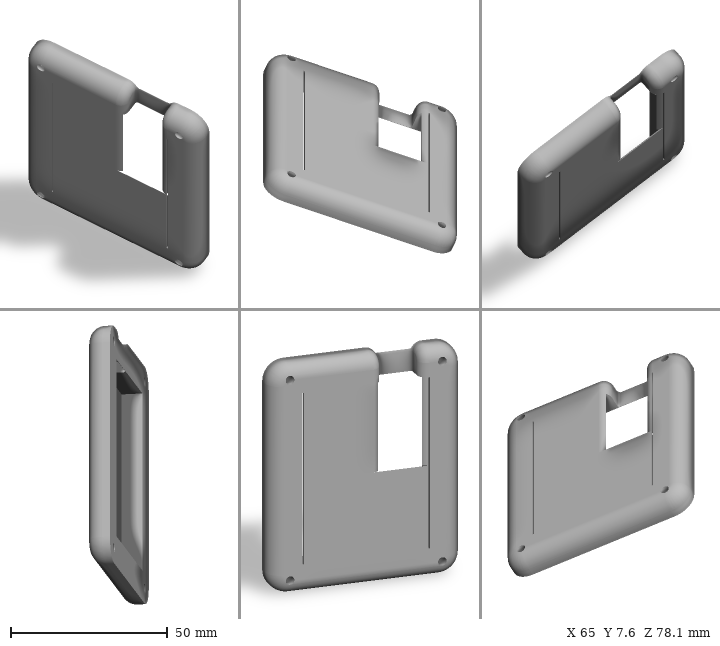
import cadquery as cq
import math

WIDTH = 65.0
HEIGHT = 78.1
DEPTH = 7.6
CORNER_RADIUS = 7.0
FRONT_FILLET = 5.0

PLATE_THICKNESS = 0.88
POCKET_WIDTH = 43.3
POCKET_HEIGHT = 58.3
SLOT_WIDTH = 0.5

NOTCH_LEFT = 5.3
NOTCH_RIGHT = 18.25
NOTCH_BOTTOM = -0.8
NOTCH_EDGE_RADIUS = 3.1
NOTCH_ROOT_RADIUS = 0.75
WEB_THICKNESS = 0.1

HOLE_DIAMETER = 2.9
HOLE_SPACING_X = 51.6
HOLE_SPACING_Z = 68.0

BACK_STOCK = 2 * NOTCH_EDGE_RADIUS

TOP = HEIGHT / 2
FRONT = -DEPTH
TOLERANCE = 0.01


def block(x_limits, y_limits, z_limits):
    """Axis-aligned box given by its lower and upper limit on each axis."""
    corner = (x_limits[0], y_limits[0], z_limits[0])
    size = [upper - lower for lower, upper in (x_limits, y_limits, z_limits)]
    return cq.Workplane("XY").box(*size, centered=False).translate(corner)


def make_body():
    """Rounded plate with a filleted front rim, including the stock behind the back face."""
    plate = cq.Workplane("XZ", origin=(0, BACK_STOCK, 0)).rect(WIDTH, HEIGHT).extrude(DEPTH + BACK_STOCK)
    return plate.edges("|Y").fillet(CORNER_RADIUS).faces("<Y").edges().fillet(FRONT_FILLET)


def lies_on_notch_wall(edge):
    x = edge.Center().x
    return min(abs(x - NOTCH_LEFT), abs(x - NOTCH_RIGHT)) < TOLERANCE


def is_notch_rim(edge):
    """True for the edges where the notch breaks out of the front and top surfaces."""
    box = edge.BoundingBox()
    in_notch = box.xmin > NOTCH_LEFT - TOLERANCE and box.xmax < NOTCH_RIGHT + TOLERANCE
    at_top = box.zmin > TOP - TOLERANCE and box.ymax < TOLERANCE
    on_side = lies_on_notch_wall(edge) and box.zmax - box.zmin > TOLERANCE
    at_front = on_side and box.ymin < FRONT + FRONT_FILLET - TOLERANCE
    return in_notch and (at_top or at_front)


def cut_notch(body):
    """Notch with rounded roots against the web and a generous rounding along its whole rim."""
    notch = block((NOTCH_LEFT, NOTCH_RIGHT), (FRONT, -WEB_THICKNESS), (NOTCH_BOTTOM, TOP))
    notch = notch.edges("|Z and >Y").fillet(NOTCH_ROOT_RADIUS)
    notched = body.cut(notch)
    rim = [edge for edge in notched.edges().vals() if is_notch_rim(edge)]
    return notched.newObject(rim).fillet(NOTCH_EDGE_RADIUS)


def remove_back_stock(body):
    half_width = WIDTH / 2
    return body.cut(block((-half_width, half_width), (0, BACK_STOCK), (-TOP, TOP)))


def cut_pocket(body):
    half_width = POCKET_WIDTH / 2
    half_height = POCKET_HEIGHT / 2
    z_limits = (-half_height, half_height)
    body = body.cut(block((-half_width, half_width), (FRONT + PLATE_THICKNESS, 0), z_limits))
    for slot_left in (-half_width, half_width - SLOT_WIDTH):
        body = body.cut(block((slot_left, slot_left + SLOT_WIDTH), (FRONT, 0), z_limits))
    return body


def round_window_sill(body):
    """Thin the inner side of the plate to a knife edge at the bottom of the notch, along an arc."""
    drop = NOTCH_EDGE_RADIUS - PLATE_THICKNESS
    run = math.sqrt(NOTCH_EDGE_RADIUS**2 - drop**2)
    x_limits = (NOTCH_LEFT - NOTCH_EDGE_RADIUS, NOTCH_RIGHT + NOTCH_EDGE_RADIUS)
    plate_back = FRONT + PLATE_THICKNESS
    waste = block(x_limits, (FRONT, plate_back), (NOTCH_BOTTOM - run, NOTCH_BOTTOM))
    axis_point = (x_limits[0], plate_back - NOTCH_EDGE_RADIUS, NOTCH_BOTTOM - run)
    sill_arc = cq.Workplane("YZ", origin=axis_point).circle(NOTCH_EDGE_RADIUS)
    return body.cut(waste.cut(sill_arc.extrude(x_limits[1] - x_limits[0])))


def drill_holes(body):
    pattern = cq.Workplane("XZ").rect(HOLE_SPACING_X, HOLE_SPACING_Z, forConstruction=True).vertices()
    return body.cut(pattern.circle(HOLE_DIAMETER / 2).extrude(DEPTH))


body = cut_notch(make_body())
body = remove_back_stock(body)
body = cut_pocket(body)
body = round_window_sill(body)
result = drill_holes(body)